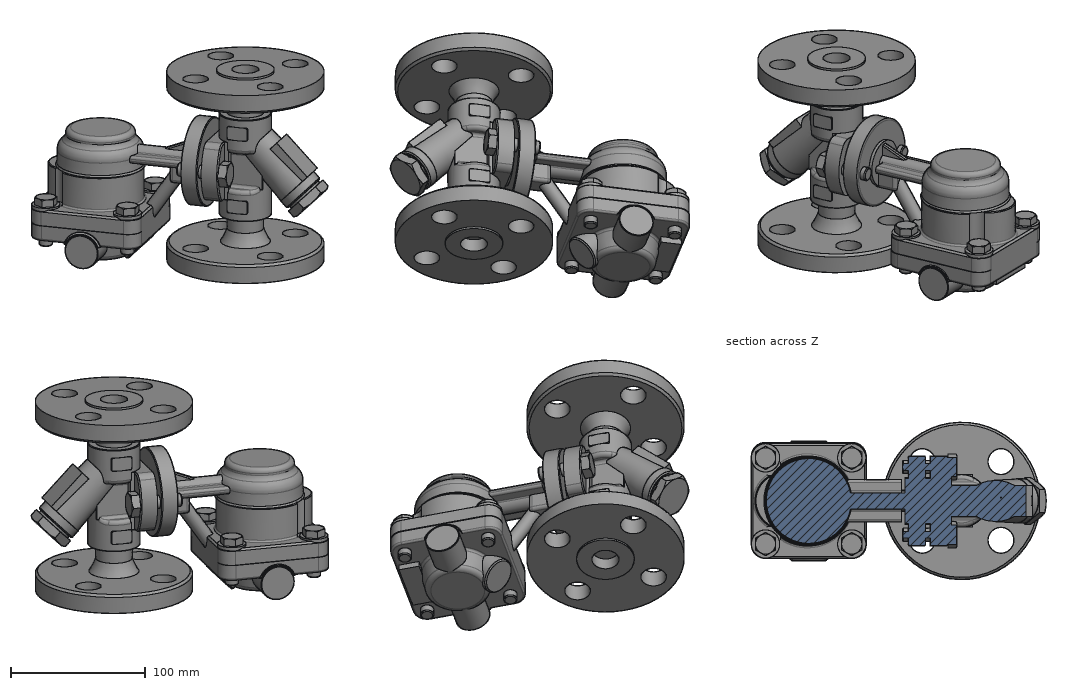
import cadquery as cq
import math


face_to_face = 150.0
flange_dia = 117.0
flange_thickness = 14.4
flange_edge_chamfer = 1.8
raised_face_dia = 42.9
raised_face_height = 1.6
bolt_circle_dia = 82.6
bolt_hole_dia = 19.0
bolt_hole_count = 4
pipe_dia = 27.2
hub_dia = 37.2
hub_height = 10.2
hub_flare_sag = 0.5
bore_dia = 20.0
bore_depth = 10.0

body_dia = 39.0
body_top = 41.4
body_bottom = -37.9
body_edge_chamfer = 0.6
waist_half_height = 14.0
waist_half_width = 11.7
waist_end_x = 17.0
waist_fillet = 2.5
waist_rim_fillet = 3.2
name_pad_width = 15.8
name_pad_height = 10.3
name_pad_corner = 1.5
name_pad_heights = (30.3, -26.8)

plug_end_x = 52.26
plug_end_z = -23.8
plug_across_flats = 30.0
plug_hex_height = 7.2
plug_collar_dia = 28.5
plug_collar_height = 1.9
ring_dia = 33.0
ring_length = 7.4
ring_chamfer = 1.0
branch_mouth_dia = 32.6
branch_inner_dia = 29.2
branch_length = 44.0
branch_pad_half_width = 11.6
branch_pad_top = 16.8
branch_pad_length = 34.0

disc_dia = 67.0
disc_left = -39.7
disc_right = -26.8
disc_edge_chamfer = 0.7
spigot_dia = 35.0
spigot_left = -42.2
spigot_fillet = 1.6
oval_left = -23.4
oval_right = -10.2
oval_dia = 67.0
oval_height = 45.0
oval_corner_fillet = 8.0
oval_back_chamfer = 1.0
saddle_half_width = 17.8
saddle_right = -7.4
joint_bolt_offset = 25.2
joint_bolt_dia = 10.0
joint_bolt_tip = -44.0
joint_head_across_flats = 17.0
joint_head_height = 6.7

trap_x = -113.5
square_size = 85.5
square_corner = 10.5
square_top = -37.0
square_split = -49.4
square_bottom = -61.4
square_edge = 1.5
cover_shift_y = 0.7
bolt_x = -113.6
bolt_spacing = 64.0
bolt_boss_dia = 21.0
bolt_boss_top = -35.6
bolt_head_top = -29.9
bolt_head_across_flats = 15.0
bolt_shank_dia = 10.0
bolt_shank_bottom = -67.4
head_chamfer = 0.8
barrel_x = -114.6
barrel_dia = 67.0
barrel_top = -10.9
barrel_edge = 0.7
lobe_x = -131.9
lobe_radius = 21.5
groove_x = -142.0
groove_y = 26.5
groove_radius = 7.7
barrel_foot_fillet = 1.4
dome_foot_dia = 65.2
dome_foot_flare = 0.8
dome_foot_height = 1.6
dome_dia = 64.4
dome_spring_z = 0.2
shoulder_dia = 57.0
shoulder_z = 8.4
crown_dia = 52.0
crown_foot_z = 12.6
crown_foot_sag = 0.4
crown_top = 17.9
crown_edge = 3.8
bowl_top_dia = 54.0
bowl_bottom_dia = 47.0
bowl_bottom = -79.1
bowl_edge = 4.4
bowl_root_fillet = 1.8
port_z = -66.0
port_dia = 26.0
port_length = 89.2
port_rim = 0.5
port_shoulder_dia = 30.0
port_shoulder_chamfer = 1.2
drain_dia = 27.0
drain_x = -81.9
drain_z = -72.231
drain_rim = 1.0
drain_length = 26.0
lug_left = -153.4
lug_right = -138.0
lug_half_width = 19.8
lug_bottom = -66.2

arm_tube_dia = 15.0
web_half_width = 15.8
web_thickness = 5.7
web_edge_fillet = 2.1
web_root_fillet = 1.2
web_end_x = -44.5
rib_width = 5.0
rib_edge_chamfer = 1.0
rib_start_x = -62.0
rib_top_z = 15.5
knee_left = -57.0
knee_bottom = -17.5
knee_half_width = 8.0
knee_fillet = 2.5
drain_pipe_dia = 11.0
drain_pipe_top = (-52.0, -10.7)
drain_pipe_foot = (-78.0, -48.4)

overlap = 2.0


def vertical_cylinder(dia, bottom, top, x=0.0, y=0.0):
    return cq.Workplane("XY", origin=(x, y, bottom)).circle(dia / 2).extrude(top - bottom)


def x_cylinder(dia, left, right, y=0.0):
    return cq.Workplane("YZ", origin=(left, y, 0)).circle(dia / 2).extrude(right - left)


def block(x_range, y_range, z_range):
    size = [high - low for low, high in (x_range, y_range, z_range)]
    corner = (x_range[0], y_range[0], z_range[0])
    return cq.Workplane("XY", origin=corner).box(*size, centered=False)


def hex_prism(plane, across_flats, height, turn=0.0):
    """Hexagon with its outer corners turned off at 30 degrees; `turn` rotates it about its axis."""
    across_corners = across_flats / math.cos(math.pi / 6)
    prism = plane.transformed(rotate=(0, 0, turn)).polygon(6, across_corners).extrude(height)
    corner_overhang = (across_corners - across_flats) / 2
    turned = plane.circle(across_corners / 2).extrude(height)
    turned = turned.faces(cq.selectors.DirectionMinMaxSelector(plane.plane.zDir, True))
    turned = turned.chamfer(corner_overhang * math.tan(math.pi / 6), corner_overhang)
    return prism.intersect(turned)


def end_flange():
    """Upper welding-neck flange with its raised face, flared hub and blind bore."""
    face = face_to_face / 2
    top = face - raised_face_height
    bottom = top - flange_thickness
    flange = vertical_cylinder(flange_dia, bottom, top).faces("<Z").edges().chamfer(flange_edge_chamfer)
    flange = flange.union(vertical_cylinder(raised_face_dia, bottom, face))

    hub_bottom = bottom - hub_height
    flare_mid = ((hub_dia + pipe_dia) / 4 - hub_flare_sag, (bottom + hub_bottom) / 2)
    hub = (
        cq.Workplane("XZ")
        .moveTo(0, hub_bottom)
        .lineTo(pipe_dia / 2, hub_bottom)
        .threePointArc(flare_mid, (hub_dia / 2, bottom))
        .lineTo(hub_dia / 2, top)
        .lineTo(0, top)
        .close()
        .revolve(360, (0, 0, 0), (0, 1, 0))
    )
    neck = vertical_cylinder(pipe_dia, -body_bottom - overlap, hub_bottom)
    holes = (
        cq.Workplane("XY", origin=(0, 0, bottom))
        .polarArray(bolt_circle_dia / 2, 180 / bolt_hole_count, 360, bolt_hole_count)
        .circle(bolt_hole_dia / 2)
        .extrude(flange_thickness)
    )
    bore = vertical_cylinder(bore_dia, face - bore_depth, face)
    return flange.union(hub).union(neck).cut(holes).cut(bore)


def valve_body():
    """Two round ends joined by a narrower flat-sided waist, with a name pad on each side of each end."""
    body = vertical_cylinder(body_dia, body_bottom, body_top)
    body = body.faces("<Z or >Z").edges().chamfer(body_edge_chamfer)
    for side in (-1, 1):
        y_range = sorted((side * waist_half_width, side * body_dia))
        relief = block((-body_dia, body_dia), y_range, (-waist_half_height, waist_half_height))
        inner_edges = relief.faces("<Y" if side > 0 else ">Y").edges("|X")
        body = body.cut(inner_edges.fillet(waist_fillet))
    rim_box = cq.selectors.BoxSelector(
        (-body_dia, -body_dia, -waist_half_height - overlap),
        (body_dia, body_dia, waist_half_height + overlap),
    )
    body = body.edges(rim_box).edges("%CIRCLE").fillet(waist_rim_fillet)
    body = body.union(
        block(
            (oval_left, waist_end_x),
            (-waist_half_width, waist_half_width),
            (-waist_half_height, waist_half_height),
        )
    )
    for height in name_pad_heights:
        pad = (
            cq.Workplane("XZ", origin=(0, body_dia / 2, height))
            .rect(name_pad_width, name_pad_height)
            .extrude(body_dia)
            .edges("|Y")
            .fillet(name_pad_corner)
        )
        body = body.union(pad)
    return body


def strainer_branch():
    """Inclined leg: tapered tube, retaining ring, collar and hexagonal plug."""
    slope = cq.Vector(1, 0, -1).normalized()
    end = cq.Vector(plug_end_x, 0, plug_end_z)

    def plane_at(distance_back):
        origin = end - slope * distance_back
        return cq.Workplane(cq.Plane(origin=origin, xDir=(0, 1, 0), normal=slope))

    hex_base = plug_hex_height
    ring_end = hex_base + plug_collar_height
    ring_start = ring_end + ring_length
    tube_start = ring_start + branch_length

    plug = hex_prism(plane_at(hex_base), plug_across_flats, plug_hex_height)
    collar = plane_at(ring_end + overlap).circle(plug_collar_dia / 2).extrude(plug_collar_height + overlap)
    ring = plane_at(ring_start).circle(ring_dia / 2).extrude(ring_length)
    ring = ring.faces(cq.selectors.DirectionMinMaxSelector(slope, True)).chamfer(ring_chamfer)
    tube = (
        plane_at(tube_start)
        .circle(branch_inner_dia / 2)
        .workplane(offset=branch_length)
        .circle(branch_mouth_dia / 2)
        .loft()
    )
    pad = (
        plane_at(ring_start + branch_pad_length)
        .center(0, branch_pad_top / 2)
        .rect(2 * branch_pad_half_width, branch_pad_top)
        .extrude(branch_pad_length)
    )
    return tube.union(pad).union(ring).union(collar).union(plug)


def joint():
    """Round arm flange, oval body flange and the two bolts that clamp them."""
    disc = x_cylinder(disc_dia, disc_left, disc_right).edges().chamfer(disc_edge_chamfer)
    spigot = x_cylinder(spigot_dia, spigot_left, disc_left)
    foot_edge = cq.selectors.NearestToPointSelector((disc_left, 0, spigot_dia / 2))
    disc = disc.union(spigot).edges(foot_edge).fillet(spigot_fillet)
    neck = x_cylinder(spigot_dia, disc_right, oval_left + overlap)
    oval = x_cylinder(oval_dia, oval_left, oval_right)
    oval = oval.intersect(
        block(
            (oval_left, oval_right),
            (-oval_dia / 2, oval_dia / 2),
            (-oval_height / 2, oval_height / 2),
        )
    )
    oval = oval.edges("|X").fillet(oval_corner_fillet).faces(">X").edges().chamfer(oval_back_chamfer)
    saddle = block(
        (oval_left + overlap, saddle_right),
        (-saddle_half_width, saddle_half_width),
        (-oval_height / 2, oval_height / 2),
    )
    saddle = saddle.faces(">X").edges("|Y").fillet(oval_back_chamfer)
    assembly = disc.union(neck).union(oval).union(saddle)
    for y in (-joint_bolt_offset, joint_bolt_offset):
        shank = x_cylinder(joint_bolt_dia, joint_bolt_tip, oval_right, y)
        shank = shank.faces("<X").chamfer(head_chamfer)
        head_plane = cq.Workplane("YZ", origin=(oval_right, y, 0))
        head = hex_prism(head_plane, joint_head_across_flats, joint_head_height)
        assembly = assembly.union(shank).union(head)
    return assembly


def square_flanges():
    """The barrel's square flange and the cover plate below it, clamped by four hexagon bolts."""

    def square_plate(bottom, top, y):
        plate = cq.Workplane("XY", origin=(trap_x, y, bottom)).rect(square_size, square_size)
        return plate.extrude(top - bottom).edges("|Z").fillet(square_corner)

    upper = square_plate(square_split, square_top, 0).faces(">Z").edges().chamfer(square_edge)
    lower = square_plate(square_bottom, square_split, cover_shift_y).faces("<Z").edges().fillet(square_edge)
    plates = upper.union(lower)
    for x in (bolt_x - bolt_spacing / 2, bolt_x + bolt_spacing / 2):
        for y in (-bolt_spacing / 2, bolt_spacing / 2):
            boss = vertical_cylinder(bolt_boss_dia, square_split, bolt_boss_top, x, y)
            shank = vertical_cylinder(bolt_shank_dia, bolt_shank_bottom, square_split, x, y)
            shank = shank.faces("<Z").chamfer(head_chamfer)
            head_plane = cq.Workplane("XY", origin=(x, y, bolt_boss_top))
            head = hex_prism(head_plane, bolt_head_across_flats, bolt_head_top - bolt_boss_top, 90)
            plates = plates.union(boss).union(shank).union(head)
    return plates


def footed_cylinder(radius, x):
    """Cylinder standing on the square flange, chamfered on top and flared by a fillet at its foot."""
    flare_radius = radius + barrel_foot_fillet
    flare_mid = (
        flare_radius - barrel_foot_fillet * math.sqrt(0.5),
        square_top + barrel_foot_fillet * (1 - math.sqrt(0.5)),
    )
    return (
        cq.Workplane("XZ", origin=(x, 0, 0))
        .moveTo(0, square_top)
        .lineTo(flare_radius, square_top)
        .threePointArc(flare_mid, (radius, square_top + barrel_foot_fillet))
        .lineTo(radius, barrel_top - barrel_edge)
        .lineTo(radius - barrel_edge, barrel_top)
        .lineTo(0, barrel_top)
        .close()
        .revolve(360, (0, 0, 0), (0, 1, 0))
    )


def barrel():
    """Round barrel with a side lobe, set off by a round groove on either side."""
    shape = footed_cylinder(barrel_dia / 2, barrel_x).union(footed_cylinder(lobe_radius, lobe_x))
    for y in (-groove_y, groove_y):
        shape = shape.cut(vertical_cylinder(2 * groove_radius, square_top, barrel_top, groove_x, y))
    return shape


def dome():
    """Stepped dome above the barrel."""
    crown_foot_mid = ((shoulder_dia + crown_dia) / 4 - crown_foot_sag, (shoulder_z + crown_foot_z) / 2)
    shoulder_mid = (0.49 * dome_dia, (dome_spring_z + shoulder_z) / 2 + 0.3)
    shape = (
        cq.Workplane("XZ", origin=(trap_x, 0, 0))
        .moveTo(0, barrel_top)
        .lineTo(dome_foot_dia / 2 + dome_foot_flare, barrel_top)
        .lineTo(dome_foot_dia / 2, barrel_top + dome_foot_height)
        .lineTo(dome_dia / 2, dome_spring_z)
        .threePointArc(shoulder_mid, (shoulder_dia / 2, shoulder_z))
        .threePointArc(crown_foot_mid, (crown_dia / 2, crown_foot_z))
        .lineTo(crown_dia / 2, crown_top)
        .lineTo(0, crown_top)
        .close()
        .revolve(360, (0, 0, 0), (0, 1, 0))
    )
    return shape.faces(">Z").edges().fillet(crown_edge)


def cover_bowl():
    """Tapered bowl below the cover with two side ports, a drain boss and a flat lug."""
    root_radius = bowl_top_dia / 2 + bowl_root_fillet
    root_mid = (
        root_radius - bowl_root_fillet * math.sqrt(0.5),
        square_bottom - bowl_root_fillet * (1 - math.sqrt(0.5)),
    )
    bowl = (
        cq.Workplane("XZ", origin=(trap_x, 0, 0))
        .moveTo(0, square_bottom)
        .lineTo(root_radius, square_bottom)
        .threePointArc(root_mid, (bowl_top_dia / 2, square_bottom - bowl_root_fillet))
        .lineTo(bowl_bottom_dia / 2, bowl_bottom)
        .lineTo(0, bowl_bottom)
        .close()
        .revolve(360, (0, 0, 0), (0, 1, 0))
        .faces("<Z")
        .edges()
        .fillet(bowl_edge)
    )

    def port_cylinder(dia, length):
        plane = cq.Workplane("XZ", origin=(trap_x, length / 2, port_z))
        return plane.circle(dia / 2).extrude(length)

    ports = port_cylinder(port_dia, port_length).edges().chamfer(port_rim)
    shoulder_length = port_length - 2 * port_rim
    shoulders = port_cylinder(port_shoulder_dia, shoulder_length).edges().chamfer(port_shoulder_chamfer)
    shoulders = shoulders.intersect(
        block(
            (trap_x - square_size, trap_x + square_size),
            (-port_length, port_length),
            (square_bottom, square_split),
        )
    )

    drain_plane = cq.Plane(origin=(drain_x, 0, drain_z), xDir=(0, 1, 0), normal=(1, 0, -1))
    drain = cq.Workplane(drain_plane).circle(drain_dia / 2).extrude(-drain_length)
    outer_face = cq.selectors.DirectionMinMaxSelector(drain_plane.zDir, True)
    drain = drain.faces(outer_face).chamfer(drain_rim)
    lug = block((lug_left, lug_right), (-lug_half_width, lug_half_width), (lug_bottom, square_bottom))
    return bowl.union(ports).union(shoulders).union(drain).union(lug)


def arm():
    """Tube with side webs, top rib, knee block and the sloping return pipe."""
    disc_face = disc_left + overlap
    tube = x_cylinder(arm_tube_dia, trap_x, disc_face)
    web = block(
        (trap_x, web_end_x),
        (-web_half_width, web_half_width),
        (-web_thickness / 2, web_thickness / 2),
    )
    web = web.edges("|X").fillet(web_edge_fillet)
    root_box = cq.selectors.BoxSelector(
        (2 * trap_x, -arm_tube_dia / 2, -arm_tube_dia / 2),
        (0, arm_tube_dia / 2, arm_tube_dia / 2),
    )
    tube = tube.union(web).edges(root_box).edges("|X").fillet(web_root_fillet)
    rib = (
        cq.Workplane("XZ", origin=(0, rib_width / 2, 0))
        .moveTo(rib_start_x, 0)
        .lineTo(rib_start_x, arm_tube_dia / 2)
        .lineTo(spigot_left, rib_top_z)
        .lineTo(spigot_left, 0)
        .close()
        .extrude(rib_width)
    )
    rib = rib.faces(cq.selectors.NearestToPointSelector((rib_start_x / 2 + spigot_left / 2, 0, rib_top_z)))
    rib = rib.edges("not |Y").chamfer(rib_edge_chamfer)
    knee = block(
        (knee_left, disc_face),
        (-knee_half_width, knee_half_width),
        (knee_bottom, 0),
    )
    knee = knee.edges("<X or <Z").fillet(knee_fillet)

    top = cq.Vector(drain_pipe_top[0], 0, drain_pipe_top[1])
    foot = cq.Vector(drain_pipe_foot[0], 0, drain_pipe_foot[1])
    run = foot - top
    pipe_plane = cq.Plane(origin=top, xDir=(0, 1, 0), normal=run)
    return_pipe = cq.Workplane(pipe_plane).circle(drain_pipe_dia / 2).extrude(run.Length)
    return tube.union(rib).union(knee).union(return_pipe)


upper_flange = end_flange()
lower_flange = upper_flange.mirror("XY")
features = [
    valve_body(),
    lower_flange,
    strainer_branch(),
    joint(),
    arm(),
    dome(),
    barrel(),
    square_flanges(),
    cover_bowl(),
]
result = upper_flange
for feature in features:
    result = result.union(feature)